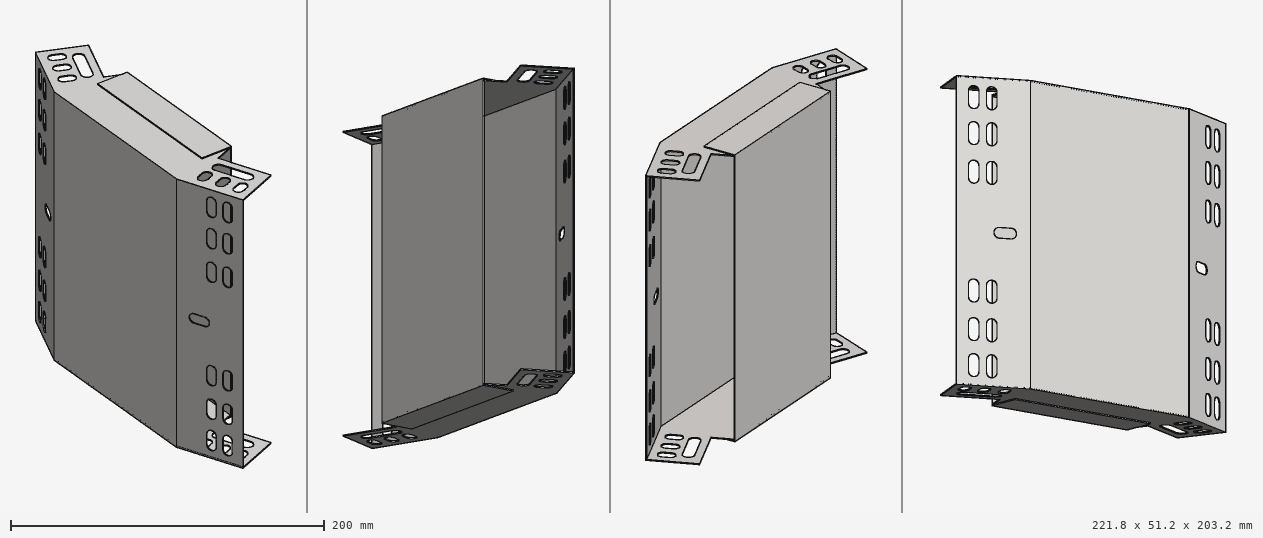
import cadquery as cq
import math

overall_width = 221.82
inner_height = 200.0
sheet = 0.8
bend_angle = 22.5
wing_side_depth = 35.0
channel_depth = 51.22

wing_side_length = 39.5

cover_width = 111.5
cover_lip = 23.5
cover_setback = 0.4

short_slot_width = 7.0
wing_slot_length = 15.0
wing_slot_columns = [11.5, 23.5]
wing_slot_heights = [38.8, 64.0, 87.5]
middle_slot_offset = 32.5
side_slot_length = 12.0
side_slot_offsets = [9.0, 22.0, 35.5]
side_slot_depth = 12.0
long_slot_length = 29.5
long_slot_width = 8.0
long_slot_offset = 22.7
long_slot_depth = 25.5

bend = math.radians(bend_angle)
channel_height = inner_height + 2 * sheet
half_width = overall_width / 2
tip_rise = channel_depth - wing_side_depth * math.cos(bend)
wing_length = tip_rise / math.sin(bend)
fold_x = half_width - wing_length * math.cos(bend)
cover_back = channel_depth - cover_setback
cover_inside = cover_back - sheet


def wing_point(along, depth):
    """Point on the right wing: distance in from the tip edge, and depth behind the outer face."""
    x = half_width - along * math.cos(bend) - depth * math.sin(bend)
    y = tip_rise - along * math.sin(bend) + depth * math.cos(bend)
    return (x, y)


def mirrored(points):
    """Close a right-hand half outline with its mirror image across X = 0."""
    return points + [(-x, y) for x, y in reversed(points)]


def extrude_outline(points, height):
    """Prism along Z, centred on Z = 0."""
    return cq.Workplane("XY").polyline(points).close().extrude(height / 2, both=True)


def channel_blank():
    """Three-facet face with a side sheet at each Z end."""
    notch_x, notch_y = wing_point(wing_side_length, wing_side_depth)
    flap_top_x = notch_x - (cover_inside - notch_y) * math.tan(bend)
    side_outline = mirrored([
        (fold_x, 0),
        wing_point(0, 0),
        wing_point(0, wing_side_depth),
        (notch_x, notch_y),
        (flap_top_x, cover_inside),
    ])
    inner_fold_x = fold_x - sheet * math.tan(bend / 2)
    face_outline = [
        (fold_x, 0),
        wing_point(0, 0),
        wing_point(0, sheet),
        (inner_fold_x, sheet),
    ]
    face = extrude_outline(mirrored(face_outline), channel_height)
    sides = extrude_outline(side_outline, channel_height).cut(extrude_outline(side_outline, inner_height))
    return face.union(sides)


def slot_cutters(plane, centres, length, width, angle, reach):
    """One obround cutter per centre, reaching the same distance to both sides of the plane."""
    return cq.Workplane(plane).pushPoints(centres).slot2D(length, width, angle).extrude(reach, both=True)


def wing_slots():
    """Cutters through the right wing face."""
    wing_plane = cq.Plane(
        origin=(half_width, tip_rise, 0),
        xDir=(-math.cos(bend), -math.sin(bend), 0),
        normal=(-math.sin(bend), math.cos(bend), 0),
    )
    centres = []
    for height in wing_slot_heights:
        for column in wing_slot_columns:
            centres += [(column, height), (column, -height)]
    upright = slot_cutters(wing_plane, centres, wing_slot_length, short_slot_width, 90, 2 * sheet)
    level_centres = [(middle_slot_offset, 0)]
    level = slot_cutters(wing_plane, level_centres, wing_slot_length, short_slot_width, 0, 2 * sheet)
    return [upright, level]


def side_slots():
    """Cutters through both right-hand wing sides."""
    upright_angle = 90 + bend_angle
    short_centres = [wing_point(offset, side_slot_depth) for offset in side_slot_offsets]
    short = slot_cutters("XY", short_centres, side_slot_length, short_slot_width, upright_angle, channel_height)
    long_centre = wing_point(long_slot_offset, long_slot_depth)
    long = slot_cutters("XY", [long_centre], long_slot_length, long_slot_width, bend_angle, channel_height)
    return [short, long]


def make_channel():
    """Folded channel with the slots of the right wing mirrored onto the left one."""
    channel = channel_blank()
    for slots in wing_slots() + side_slots():
        channel = channel.cut(slots).cut(slots.mirror("YZ"))
    return channel


def make_cover():
    """Back sheet with a lip lying on the outside of each channel side."""
    cover_height = channel_height + 2 * sheet
    block = cq.Workplane("XY").box(cover_width, cover_lip, cover_height)
    hollow = cq.Workplane("XY").box(cover_width, cover_lip, channel_height).translate((0, -sheet, 0))
    return block.cut(hollow).translate((0, cover_back - cover_lip / 2, 0))


channel = make_channel()
cover = make_cover()

result = cq.Compound.makeCompound([channel.val(), cover.val()])